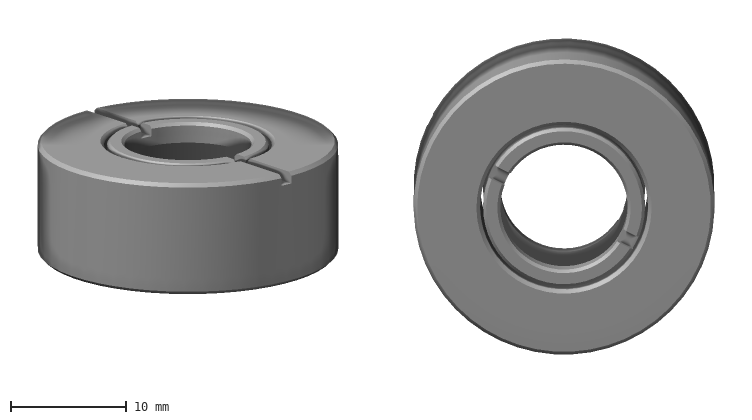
import cadquery as cq

outer_diameter = 26.0
housing_height = 10.0
housing_bore_diameter = 14.5
housing_chamfer = 0.3
housing_slot_width = 1.12
housing_slot_depth = 1.0

ring_diameter = 14.0
ring_bore_diameter = 11.0
ring_height = 1.8
ring_chamfer = 0.25
ring_slot_width = 1.2
ring_slot_depth = 0.9


def tube(outside, bore, height):
    """Plain ring about the Z axis, standing on the XY plane."""
    return cq.Workplane("XY").circle(outside / 2).circle(bore / 2).extrude(height)


def cut_top_slot(body, diameter, height, width, slot_depth):
    """Cut a straight slot along X, right across the top face of a ring."""
    slot = (
        cq.Workplane("XY")
        .workplane(offset=height - slot_depth)
        .rect(diameter, width)
        .extrude(slot_depth)
    )
    return body.cut(slot)


def make_housing():
    """Outer ring, chamfered on all rims and slotted on top."""
    body = tube(outer_diameter, housing_bore_diameter, housing_height)
    body = body.faces("<Z or >Z").edges().chamfer(housing_chamfer)
    return cut_top_slot(body, outer_diameter, housing_height, housing_slot_width, housing_slot_depth)


def make_retaining_ring(at_top):
    """Ring whose chamfered, slotted face is flush with one end of the housing."""
    ring = tube(ring_diameter, ring_bore_diameter, ring_height)
    ring = ring.faces(">Z").edges().chamfer(ring_chamfer)
    ring = cut_top_slot(ring, ring_diameter, ring_height, ring_slot_width, ring_slot_depth)
    ring = ring.translate((0, 0, housing_height - ring_height))
    if at_top:
        return ring
    return ring.mirror("XY", (0, 0, housing_height / 2))


housing = make_housing()
retaining_rings = [make_retaining_ring(at_top) for at_top in (True, False)]

result = cq.Compound.makeCompound([housing.val(), *[ring.val() for ring in retaining_rings]])